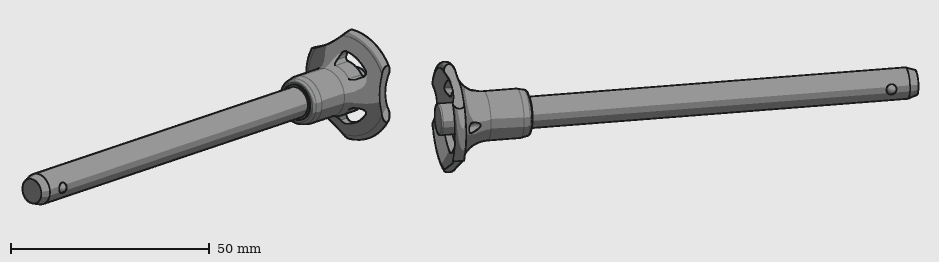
import cadquery as cq
import math


shank_radius = 4.0
shank_length = 100.0
tip_radius = 3.2
tip_taper_length = 2.4
ball_radius = 1.4
ball_protrusion = 0.9
ball_from_tip = 7.2

seat_radius = 4.6
seat_height = 0.3
hub_radius = 6.27
hub_nose_radius = 5.9
hub_nose_fillet = 0.7
hub_taper_start = 2.7
hub_length = 11.25

flange_radius = 14.41
flare_radius = 8.0
flange_height = 10.82
rim_radius = 1.44
dish_radius = 21.5
lobe_count = 3
lobe_half_angle = 28.95
scallop_depth_radius = 11.45

slot_inner_radius = 6.75
slot_outer_radius = 9.6
slot_half_angle = 30.0
slot_corner_fillet = 1.0
slot_directions = (60.0, -60.0)
lanyard_hole_distance = 8.05
lanyard_hole_diameter = 2.6
lanyard_hole_direction = 180.0

overall_length = 123.44
button_radius = 4.0
button_edge_fillet = 0.4

button_top = overall_length - shank_length
flange_back = hub_length + flange_height
flare_center_radius = hub_radius + flare_radius


def polar(radius, angle):
    """Point in the XZ plane at an angle measured from +X toward +Z."""
    return (radius * math.cos(math.radians(angle)), radius * math.sin(math.radians(angle)))


def flare_point(angle):
    """Profile point (radius, Y) on the flare, at an angle swept from the hub."""
    return (
        flare_center_radius - flare_radius * math.cos(math.radians(angle)),
        hub_length + flare_radius * math.sin(math.radians(angle)),
    )


def revolve_about_pin_axis(profile):
    return profile.revolve(360, (0, 0, 0), (0, 1, 0))


def handle_plane():
    """Plane across the pin axis where hub meets flare; negative extrusions run toward +Y."""
    return cq.Workplane("XZ", origin=(0, hub_length, 0))


def make_shank():
    profile = (
        cq.Workplane("XY")
        .moveTo(0, -shank_length)
        .lineTo(tip_radius, -shank_length)
        .lineTo(shank_radius, -shank_length + tip_taper_length)
        .lineTo(shank_radius, hub_length)
        .lineTo(0, hub_length)
        .close()
    )
    return revolve_about_pin_axis(profile)


def make_balls():
    ball_offset = shank_radius + ball_protrusion - ball_radius
    ball_y = ball_from_tip - shank_length
    return (
        cq.Workplane("XY")
        .pushPoints([(-ball_offset, ball_y), (ball_offset, ball_y)])
        .sphere(ball_radius)
    )


def make_handle_body():
    rim_center_radius = flange_radius - rim_radius
    rim_center_y = flange_back - rim_radius
    flare_end = (rim_center_radius, flange_back - 2 * rim_radius)
    dish_center_y = flange_back + math.sqrt(dish_radius**2 - rim_center_radius**2)
    dish_bottom = (0, dish_center_y - dish_radius)
    dish_mid_radius = rim_center_radius / 2
    dish_mid = (dish_mid_radius, dish_center_y - math.sqrt(dish_radius**2 - dish_mid_radius**2))
    diagonal = math.cos(math.radians(45))
    profile = (
        cq.Workplane("XY")
        .moveTo(0, 0)
        .lineTo(seat_radius, 0)
        .lineTo(seat_radius, seat_height)
        .lineTo(hub_nose_radius - hub_nose_fillet, seat_height)
        .threePointArc(
            (
                hub_nose_radius - hub_nose_fillet * (1 - diagonal),
                seat_height + hub_nose_fillet * (1 - diagonal),
            ),
            (hub_nose_radius, seat_height + hub_nose_fillet),
        )
        .lineTo(hub_radius, hub_taper_start)
        .lineTo(hub_radius, hub_length)
        .threePointArc(flare_point(45), flare_end)
        .threePointArc((flange_radius, rim_center_y), (rim_center_radius, flange_back))
        .threePointArc(dish_mid, dish_bottom)
        .close()
    )
    return revolve_about_pin_axis(profile)


def make_scallop_cutters():
    """Round cutters between the lobes, each through two neighbouring lobe corners."""
    half_gap = 180.0 / lobe_count - lobe_half_angle
    corner_distance, half_chord = polar(flange_radius, half_gap)
    sagitta = corner_distance - scallop_depth_radius
    cutter_radius = (half_chord**2 + sagitta**2) / (2 * sagitta)
    cutter_distance = scallop_depth_radius + cutter_radius
    gap_centers = [polar(cutter_distance, i * 360.0 / lobe_count) for i in range(lobe_count)]
    return (
        handle_plane()
        .pushPoints(gap_centers)
        .circle(cutter_radius)
        .extrude(-flange_height)
    )


def make_slot_cutter(direction):
    """Sector of a ring about the pin axis, with rounded corners."""
    start = direction - slot_half_angle
    end = direction + slot_half_angle
    return (
        handle_plane()
        .moveTo(*polar(slot_inner_radius, start))
        .threePointArc(polar(slot_inner_radius, direction), polar(slot_inner_radius, end))
        .lineTo(*polar(slot_outer_radius, end))
        .threePointArc(polar(slot_outer_radius, direction), polar(slot_outer_radius, start))
        .close()
        .extrude(-flange_height)
        .edges("|Y")
        .fillet(slot_corner_fillet)
    )


def make_lanyard_hole_cutter():
    return (
        handle_plane()
        .center(*polar(lanyard_hole_distance, lanyard_hole_direction))
        .circle(lanyard_hole_diameter / 2)
        .extrude(-flange_height)
    )


def make_button():
    return (
        handle_plane()
        .circle(button_radius)
        .extrude(hub_length - button_top)
        .faces(">Y")
        .edges()
        .fillet(button_edge_fillet)
    )


handle = make_handle_body().cut(make_scallop_cutters()).cut(make_lanyard_hole_cutter())
for slot_direction in slot_directions:
    handle = handle.cut(make_slot_cutter(slot_direction))

result = handle.union(make_shank()).union(make_balls()).union(make_button())